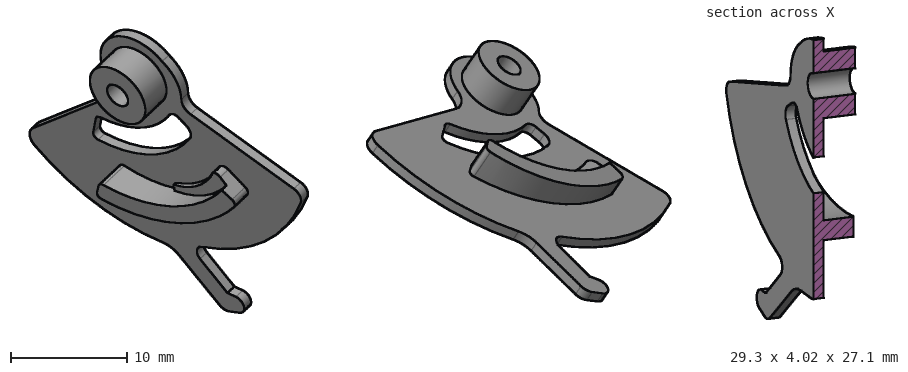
import cadquery as cq
import math


plate_thickness = 1.0
boss_height = 3.02
boss_diameter = 6.0
pivot_hole_diameter = 2.25
pivot = (0, 0)

lobe_radius = 4.13
lobe_side_center = (0.7, -0.18)
lobe_side_radius = 3.9

fan_apex = (0.82, -0.32)
fan_right_angle = -11.9
fan_left_angle = -133.1
rim_right_radius = 18.15
rim_left_radius = 19.03
rim_step_angle = -76

arm_angle = -38.3
arm_root_setback = 7.32
heel_center = (9.37, -21.95)
heel_radius = 1.05
toe_center = (10.48, -21.6)
toe_radius = 0.9
hook_notch = (9.57, -20.8)
arm_width = 2.17

neck_left_radius = 2.17
neck_right_radius = 1.25
fan_right_corner_radius = 1.0
fan_left_corner_radius = 1.32
arm_upper_root_radius = 0.95
arm_lower_root_radius = 2.35

slot_inner_center = (-4.48, 1.05)
slot_inner_radius = 8.7
slot_outer_center = (-4.55, 0.73)
slot_outer_radius = 11.25
slot_right_angle = -30.5
slot_left_start = (-4.5, -7.32)
slot_left_angle = -98.6
slot_left_corner_radius = 0.53
slot_right_inner_corner_radius = 0.7
slot_right_outer_corner_radius = 1.0

rail_inner_radius = 12.05
rail_outer_radius = 13.88
rail_left_angle = -99.5
rail_right_angle = -30.1
rail_left_height = boss_height
rail_right_height = 1.87
rail_left_corner_radius = 0.47
rail_right_corner_radius = 0.6

ramp_center = (0.8, -2.85)
ramp_radius = 8.45
ramp_left_angle = -70
ramp_left_height = 0.3
ramp_right_height = 1.3
ramp_left_corner_radius = 0.2
ramp_right_corner_radius = 0.7


def polar(center, radius, angle):
    """Point at a radius and an angle in degrees from a center."""
    turn = math.radians(angle)
    return (center[0] + radius * math.cos(turn), center[1] + radius * math.sin(turn))


def ray_to_circle(start, angle, center, radius):
    """Point where a ray that starts inside a circle leaves it."""
    dx, dz = polar((0, 0), 1, angle)
    ox, oz = start[0] - center[0], start[1] - center[1]
    along = ox * dx + oz * dz
    reach = -along + math.sqrt(along**2 - ox**2 - oz**2 + radius**2)
    return (start[0] + reach * dx, start[1] + reach * dz)


def angle_from(center, point):
    return math.degrees(math.atan2(point[1] - center[1], point[0] - center[0]))


def middle_of_arc(center, radius, start, end):
    """Point halfway along the shorter arc between two points of a circle."""
    start_angle = angle_from(center, start)
    sweep = (angle_from(center, end) - start_angle + 180) % 360 - 180
    return polar(center, radius, start_angle + sweep / 2)


def plate_plane():
    """Workplane on the plate's back face; extrusion runs toward -Y."""
    return cq.Workplane("XZ", origin=(0, plate_thickness, 0))


def raised_plane():
    """Workplane on the plate's front face; extrusion runs toward -Y."""
    return cq.Workplane("XZ")


def round_edge(body, point, radius):
    """Round the edge along Y that lies nearest to a point of the XZ plane."""
    nearest = cq.selectors.NearestToPointSelector((point[0], body.val().Center().y, point[1]))
    return body.edges("|Y").edges(nearest).fillet(radius)


def curved_band(plane, height, inner, outer, corners):
    """Band between two arcs. Corners run inner left, inner right, outer right, outer left."""
    inner_left, inner_right, outer_right, outer_left = corners
    return (
        plane.moveTo(*inner_left)
        .threePointArc(middle_of_arc(*inner, inner_left, inner_right), inner_right)
        .lineTo(*outer_right)
        .threePointArc(middle_of_arc(*outer, outer_right, outer_left), outer_left)
        .close()
        .extrude(height)
    )


def slope_top(body, left_height, right_height):
    """Trim a raised body to a flat top that slopes evenly along X."""
    box = body.val().BoundingBox()
    envelope = (
        cq.Workplane("XY", origin=(0, 0, box.zmin))
        .polyline([(box.xmin, 0), (box.xmax, 0), (box.xmax, -right_height), (box.xmin, -left_height)])
        .close()
        .extrude(box.zlen)
    )
    return body.intersect(envelope)


fan_right_corner = ray_to_circle(fan_apex, fan_right_angle, pivot, rim_right_radius)
fan_left_corner = ray_to_circle(fan_apex, fan_left_angle, pivot, rim_left_radius)
rim_step_outer = polar(pivot, rim_left_radius, rim_step_angle)
rim_step_inner = polar(pivot, rim_right_radius, rim_step_angle)

arm_lower_end = polar(heel_center, heel_radius, arm_angle - 90)
arm_lower_start = polar(arm_lower_end, -arm_root_setback, arm_angle)
arm_upper_start = polar(arm_lower_start, arm_width, arm_angle + 90)


def make_fan():
    rim_right = middle_of_arc(pivot, rim_right_radius, fan_right_corner, rim_step_inner)
    rim_left = middle_of_arc(pivot, rim_left_radius, rim_step_outer, fan_left_corner)
    return (
        plate_plane()
        .moveTo(*fan_apex)
        .lineTo(*fan_right_corner)
        .threePointArc(rim_right, rim_step_inner)
        .lineTo(*rim_step_outer)
        .threePointArc(rim_left, fan_left_corner)
        .close()
        .extrude(plate_thickness)
    )


def make_arm():
    foot_length = math.dist(heel_center, toe_center)
    sole_turn = math.degrees(math.asin((heel_radius - toe_radius) / foot_length))
    sole_normal = angle_from(heel_center, toe_center) + sole_turn - 90
    sole_start = polar(heel_center, heel_radius, sole_normal)
    sole_end = polar(toe_center, toe_radius, sole_normal)
    toe_top = polar(toe_center, toe_radius, 90)
    return (
        plate_plane()
        .moveTo(*arm_lower_start)
        .lineTo(*arm_lower_end)
        .threePointArc(middle_of_arc(heel_center, heel_radius, arm_lower_end, sole_start), sole_start)
        .lineTo(*sole_end)
        .threePointArc(middle_of_arc(toe_center, toe_radius, sole_end, toe_top), toe_top)
        .lineTo(*hook_notch)
        .lineTo(*arm_upper_start)
        .close()
        .extrude(plate_thickness)
    )


def make_plate():
    lobe = plate_plane().circle(lobe_radius).extrude(plate_thickness)
    lobe_side = plate_plane().center(*lobe_side_center).circle(lobe_side_radius).extrude(plate_thickness)
    plate = make_fan().union(make_arm()).union(lobe).union(lobe_side)
    corners = [
        (fan_right_corner, fan_right_corner_radius),
        (fan_left_corner, fan_left_corner_radius),
        (ray_to_circle(fan_apex, fan_left_angle, pivot, lobe_radius), neck_left_radius),
        (ray_to_circle(fan_apex, fan_right_angle, lobe_side_center, lobe_side_radius), neck_right_radius),
        (ray_to_circle(arm_upper_start, arm_angle, pivot, rim_right_radius), arm_upper_root_radius),
        (ray_to_circle(arm_lower_start, arm_angle, pivot, rim_left_radius), arm_lower_root_radius),
    ]
    for corner, radius in corners:
        plate = round_edge(plate, corner, radius)
    return plate


def make_slot():
    inner = (slot_inner_center, slot_inner_radius)
    outer = (slot_outer_center, slot_outer_radius)
    corners = [
        ray_to_circle(slot_left_start, slot_left_angle, *inner),
        ray_to_circle(pivot, slot_right_angle, *inner),
        ray_to_circle(pivot, slot_right_angle, *outer),
        ray_to_circle(slot_left_start, slot_left_angle, *outer),
    ]
    slot = curved_band(plate_plane(), plate_thickness, inner, outer, corners)
    for corner in (corners[0], corners[3]):
        slot = round_edge(slot, corner, slot_left_corner_radius)
    slot = round_edge(slot, corners[1], slot_right_inner_corner_radius)
    return round_edge(slot, corners[2], slot_right_outer_corner_radius)


def make_rail():
    inner = (pivot, rail_inner_radius)
    outer = (pivot, rail_outer_radius)
    corners = [
        polar(*inner, rail_left_angle),
        polar(*inner, rail_right_angle),
        polar(*outer, rail_right_angle),
        polar(*outer, rail_left_angle),
    ]
    rail = curved_band(raised_plane(), boss_height, inner, outer, corners)
    for corner in (corners[0], corners[3]):
        rail = round_edge(rail, corner, rail_left_corner_radius)
    rail = round_edge(rail, corners[2], rail_right_corner_radius)
    return slope_top(rail, rail_left_height, rail_right_height)


def make_ramp():
    inner = (ramp_center, ramp_radius)
    outer = (pivot, rail_inner_radius)
    corners = [
        ray_to_circle(pivot, ramp_left_angle, *inner),
        ray_to_circle(pivot, rail_right_angle, *inner),
        polar(*outer, rail_right_angle),
        polar(*outer, ramp_left_angle),
    ]
    ramp = curved_band(raised_plane(), ramp_right_height, inner, outer, corners)
    ramp = round_edge(ramp, corners[0], ramp_left_corner_radius)
    ramp = round_edge(ramp, corners[1], ramp_right_corner_radius)
    return slope_top(ramp, ramp_left_height, ramp_right_height)


boss = raised_plane().circle(boss_diameter / 2).extrude(boss_height)
pivot_hole = plate_plane().circle(pivot_hole_diameter / 2).extrude(plate_thickness + boss_height)

result = make_plate().cut(make_slot()).union(boss).cut(pivot_hole).union(make_rail()).union(make_ramp())